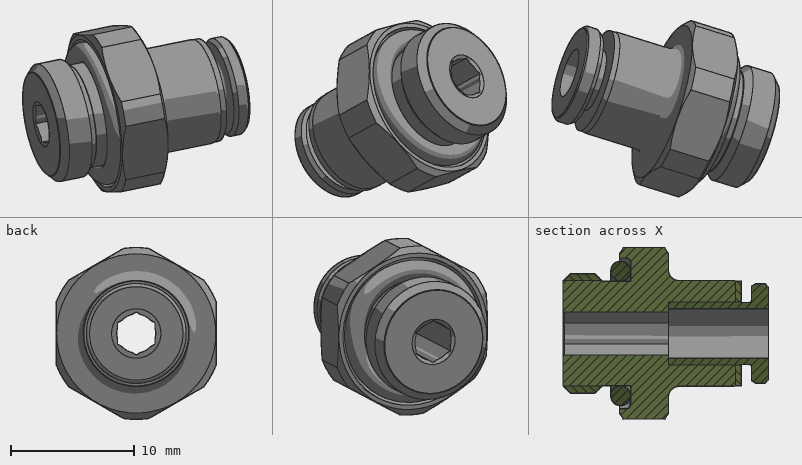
import cadquery as cq
import math


HEX_SIDES = 6
HEX_FLATS = 13.0
HEX_TURNED_DIAMETER = 13.98
HEX_TURNED_RADIUS = HEX_TURNED_DIAMETER / 2
HEX_FACE_RADIUS = 6.46
HEX_CHAMFER_ANGLE = 30
HEX_START = 4.6
HEX_LENGTH = 3.99
HEX_END = HEX_START + HEX_LENGTH
BARREL_RADIUS = 4.31
BARREL_FILLET = 0.84
BARREL_END = 14.03
BARREL_TAPER_LENGTH = 0.18

NECK_RADIUS = 4.26
CORE_RADIUS = 4.31
CORE_CHAMFER = CORE_RADIUS - NECK_RADIUS
CORE_END = 3.2
THREAD_RADIUS = 4.88
THREAD_CHAMFER = THREAD_RADIUS - NECK_RADIUS

SEAL_SECTION_DIAMETER = 1.62
SEAL_SECTION_RADIUS = SEAL_SECTION_DIAMETER / 2
SEAL_MEAN_RADIUS = NECK_RADIUS + SEAL_SECTION_RADIUS
SEAL_START = 3.87
SEAL_CENTRE = SEAL_START + SEAL_SECTION_RADIUS
RECESS_RADIUS = 6.11
RECESS_FILLET = 0.33
RECESS_FLOOR = SEAL_CENTRE + SEAL_SECTION_RADIUS

SOCKET_FLATS = 3.0
SOCKET_PILOT_RADIUS = 1.57
SOCKET_MOUTH_RADIUS = 1.87
SOCKET_MOUTH_DEPTH = 0.15

GUIDE_RADIUS = NECK_RADIUS
GUIDE_LENGTH = 0.47
GUIDE_END = BARREL_END + GUIDE_LENGTH

SLEEVE_RADIUS = 2.52
SLEEVE_BORE_RADIUS = 2.0
SLEEVE_START = HEX_END
FLANGE_START = 15.3
FLANGE_FACE = 16.57
FLANGE_RADIUS = 4.05
FLANGE_CHAMFER_WIDTH = 0.23
FLANGE_CHAMFER_LENGTH = 0.35
FLANGE_ROUND = 0.23
SLEEVE_FILLET = 0.17
LAND_RADIUS = 3.79
LAND_END = 16.7


def turned(profile):
    """Revolve a closed XY outline (X is the radius) about the Y axis."""
    return profile.close().revolve(360, (0, 0, 0), (0, 1, 0))


def cylinder(radius, start, end):
    """A cylinder about the Y axis from Y = start to Y = end."""
    return cq.Workplane("XZ", origin=(0, start, 0)).circle(radius).extrude(start - end)


def hex_prism(flats, start, end):
    """A hexagonal prism along Y with corners pointing to +Z and -Z."""
    corners = flats / math.cos(math.pi / HEX_SIDES)
    return (cq.Workplane("XZ", origin=(0, start, 0))
            .transformed(rotate=(0, 0, 90))
            .polygon(HEX_SIDES, corners)
            .extrude(start - end))


def make_hexagon():
    chamfer_length = (HEX_TURNED_RADIUS - HEX_FACE_RADIUS) * math.tan(math.radians(HEX_CHAMFER_ANGLE))
    blank = turned(
        cq.Workplane("XY")
        .moveTo(0, HEX_START)
        .lineTo(HEX_FACE_RADIUS, HEX_START)
        .lineTo(HEX_TURNED_RADIUS, HEX_START + chamfer_length)
        .lineTo(HEX_TURNED_RADIUS, HEX_END - chamfer_length)
        .lineTo(HEX_FACE_RADIUS, HEX_END)
        .lineTo(0, HEX_END)
    )
    hexagon = blank.intersect(hex_prism(HEX_FLATS, HEX_START, HEX_END))
    recess = cylinder(RECESS_RADIUS, HEX_START, RECESS_FLOOR).faces(">Y").edges().fillet(RECESS_FILLET)
    return hexagon.cut(recess)


def make_body():
    core = turned(
        cq.Workplane("XY")
        .lineTo(NECK_RADIUS, 0)
        .lineTo(CORE_RADIUS, CORE_CHAMFER)
        .lineTo(CORE_RADIUS, CORE_END - CORE_CHAMFER)
        .lineTo(NECK_RADIUS, CORE_END)
        .lineTo(NECK_RADIUS, HEX_END)
        .lineTo(BARREL_RADIUS + BARREL_FILLET, HEX_END)
        .radiusArc((BARREL_RADIUS, HEX_END + BARREL_FILLET), BARREL_FILLET)
        .lineTo(BARREL_RADIUS, BARREL_END - BARREL_TAPER_LENGTH)
        .lineTo(GUIDE_RADIUS, BARREL_END)
        .lineTo(0, BARREL_END)
    )
    socket = hex_prism(SOCKET_FLATS, 0, HEX_END)
    pilot = cylinder(SOCKET_PILOT_RADIUS, 0, HEX_END)
    mouth = turned(
        cq.Workplane("XY")
        .lineTo(SOCKET_MOUTH_RADIUS, 0)
        .lineTo(SOCKET_PILOT_RADIUS, SOCKET_MOUTH_DEPTH)
        .lineTo(0, SOCKET_MOUTH_DEPTH)
    )
    bore = cylinder(SLEEVE_RADIUS, SLEEVE_START, BARREL_END)
    return core.union(make_hexagon()).cut(socket).cut(pilot).cut(mouth).cut(bore)


def make_thread():
    return turned(
        cq.Workplane("XY")
        .moveTo(CORE_RADIUS, CORE_CHAMFER)
        .lineTo(THREAD_RADIUS, THREAD_CHAMFER)
        .lineTo(THREAD_RADIUS, CORE_END - THREAD_CHAMFER)
        .lineTo(CORE_RADIUS, CORE_END - CORE_CHAMFER)
    )


def make_seal():
    section = cq.Workplane("XY").moveTo(SEAL_MEAN_RADIUS, SEAL_CENTRE).circle(SEAL_SECTION_RADIUS)
    return section.revolve(360, (0, 0, 0), (0, 1, 0))


def make_guide():
    ring = cylinder(GUIDE_RADIUS, BARREL_END, GUIDE_END)
    return ring.cut(cylinder(SLEEVE_RADIUS, BARREL_END, GUIDE_END))


def make_sleeve():
    return turned(
        cq.Workplane("XY")
        .moveTo(SLEEVE_BORE_RADIUS, SLEEVE_START)
        .lineTo(SLEEVE_RADIUS, SLEEVE_START)
        .lineTo(SLEEVE_RADIUS, FLANGE_START - SLEEVE_FILLET)
        .radiusArc((SLEEVE_RADIUS + SLEEVE_FILLET, FLANGE_START), SLEEVE_FILLET)
        .lineTo(FLANGE_RADIUS - FLANGE_CHAMFER_WIDTH, FLANGE_START)
        .lineTo(FLANGE_RADIUS, FLANGE_START + FLANGE_CHAMFER_LENGTH)
        .lineTo(FLANGE_RADIUS, FLANGE_FACE - FLANGE_ROUND)
        .radiusArc((FLANGE_RADIUS - FLANGE_ROUND, FLANGE_FACE), -FLANGE_ROUND)
        .lineTo(LAND_RADIUS, FLANGE_FACE)
        .lineTo(LAND_RADIUS, LAND_END)
        .lineTo(SLEEVE_BORE_RADIUS, LAND_END)
    )


body = make_body()
thread = make_thread()
seal = make_seal()
guide = make_guide()
sleeve = make_sleeve()

result = cq.Compound.makeCompound([
    body.val(),
    thread.val(),
    seal.val(),
    guide.val(),
    sleeve.val(),
])